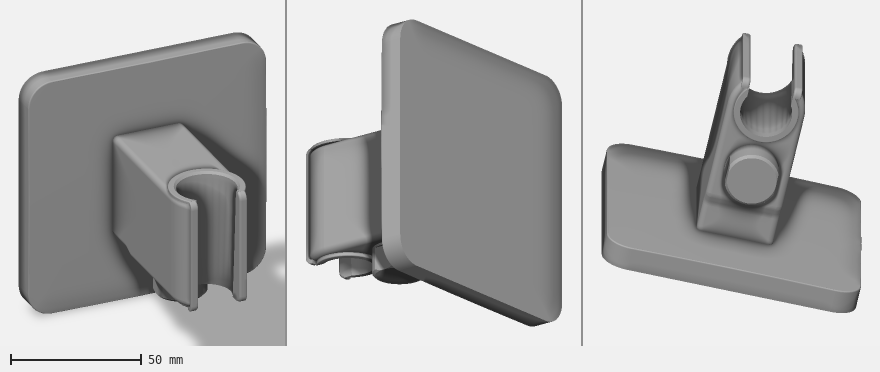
import cadquery as cq
import math

PLATE_SIZE = 100.0
PLATE_CORNER_RADIUS = 10.0
PLATE_THICKNESS = 10.1
PLATE_DOME_RADIUS = 2400.0
PLATE_EDGE_FILLET = 0.5

ARM_WIDTH = 30.0
ARM_TOP = 21.4
ARM_BOTTOM = -23.2
ARM_ROOT_BOTTOM = -21.3
ARM_ROOT_X = 9.0
ARM_END_X = 75.6
ARM_FILLET = 2.3
STEP_START_X = 22.0
STEP_END_X = 26.0
STEP_BLEND = 4.0
SELECT_MARGIN = 1.0
ARM_HALF_WIDTH = ARM_WIDTH / 2

HOLDER_X = 65.0
FLANGE_THICKNESS = 1.2
HOLDER_TOP = ARM_TOP + FLANGE_THICKNESS
HOLDER_BOTTOM = -24.7
HOLDER_END_X = 76.8
HOLDER_HEIGHT = HOLDER_TOP - HOLDER_BOTTOM
SLEEVE_RADIUS = 12.5
BORE_TOP_RADIUS = 11.8
BORE_BOTTOM_RADIUS = 10.0
BORE_CHAMFER = 0.9
MOUTH_HALF_WIDTH = 8.6
LIP_HALF_WIDTH = 11.7
LIP_START_X = ARM_END_X - ARM_FILLET
LIP_ROUND = 3.0
LIP_INNER_FILLET = 0.9
RIM_FILLET = 0.4
FLANGE_END_X = HOLDER_X + math.sqrt(ARM_HALF_WIDTH**2 - LIP_HALF_WIDTH**2)

OUTLET_X = 40.0
OUTLET_RADIUS = 10.5
OUTLET_BOTTOM = -34.0
OUTLET_CHAMFER = 1.0
OUTLET_COLLAR = 1.0
OUTLET_FLAT_DISTANCE = 9.5


def block(x_min, x_max, half_width, z_min, z_max):
    """A box centred on Y = 0."""
    size = (x_max - x_min, 2 * half_width, z_max - z_min)
    return cq.Workplane("XY").box(*size, centered=(False, True, False)).translate((x_min, 0, z_min))


def disc(x, radius, z_min, z_max):
    """A vertical cylinder on the Y = 0 plane."""
    return cq.Workplane("XY", origin=(x, 0, z_min)).circle(radius).extrude(z_max - z_min)


def make_plate():
    slab = cq.Workplane("YZ").rect(PLATE_SIZE, PLATE_SIZE).extrude(PLATE_THICKNESS)
    slab = slab.edges("|X").fillet(PLATE_CORNER_RADIUS)
    dome_centre = (PLATE_THICKNESS - PLATE_DOME_RADIUS, 0, 0)
    dome = cq.Workplane("XY").sphere(PLATE_DOME_RADIUS).translate(dome_centre)
    return slab.intersect(dome).faces(">X").edges().fillet(PLATE_EDGE_FILLET)


def make_arm_end_limit():
    """A block with the flat, round-cornered end that cuts the half round short."""
    limit = block(ARM_ROOT_X, ARM_END_X, ARM_HALF_WIDTH, ARM_BOTTOM, ARM_TOP)
    return limit.edges("|Y and >X").fillet(ARM_FILLET)


def make_arm_envelope():
    """The arm before the holder's seat is cut, reaching to the full half round."""
    nose_x = HOLDER_X + ARM_HALF_WIDTH
    profile = [
        (ARM_ROOT_X, ARM_TOP),
        (nose_x, ARM_TOP),
        (nose_x, ARM_BOTTOM),
        (STEP_END_X, ARM_BOTTOM),
        (STEP_START_X, ARM_ROOT_BOTTOM),
        (ARM_ROOT_X, ARM_ROOT_BOTTOM),
    ]
    bar = cq.Workplane("XZ").polyline(profile).close().extrude(ARM_HALF_WIDTH, both=True)
    step_edges = cq.selectors.BoxSelector(
        (STEP_START_X - SELECT_MARGIN, -ARM_WIDTH, ARM_BOTTOM - SELECT_MARGIN),
        (STEP_END_X + SELECT_MARGIN, ARM_WIDTH, ARM_ROOT_BOTTOM + SELECT_MARGIN),
    )
    bar = bar.edges("|Y").edges(step_edges).fillet(STEP_BLEND)
    plan = block(ARM_ROOT_X, HOLDER_X, ARM_HALF_WIDTH, HOLDER_BOTTOM, HOLDER_TOP)
    plan = plan.union(disc(HOLDER_X, ARM_HALF_WIDTH, HOLDER_BOTTOM, HOLDER_TOP))
    bar = bar.intersect(plan)
    bar = bar.faces(">Z").edges("not(<X)").fillet(ARM_FILLET)
    bar = bar.faces("<Z").edges("%CIRCLE").fillet(ARM_FILLET)
    return bar.intersect(make_arm_end_limit())


def make_mouth():
    return block(HOLDER_X, HOLDER_END_X, MOUTH_HALF_WIDTH, HOLDER_BOTTOM, HOLDER_TOP)


def make_arm(plate):
    seat = disc(HOLDER_X, SLEEVE_RADIUS, ARM_BOTTOM, ARM_TOP)
    return make_arm_envelope().cut(seat).cut(make_mouth()).cut(plate)


def make_bore():
    """Tapered bore with a chamfered upper rim."""
    chamfer_z = HOLDER_TOP - BORE_CHAMFER
    profile = [
        (0, HOLDER_BOTTOM),
        (BORE_BOTTOM_RADIUS, HOLDER_BOTTOM),
        (BORE_TOP_RADIUS, chamfer_z),
        (BORE_TOP_RADIUS + BORE_CHAMFER, HOLDER_TOP),
        (0, HOLDER_TOP),
    ]
    bore = cq.Workplane("XZ").polyline(profile).close().revolve(360, (0, 0), (0, 1))
    return bore.translate((HOLDER_X, 0, 0))


def make_lip():
    """The +Y lip, wrapped round the flat end of the arm."""
    lip = (
        cq.Workplane("XY")
        .box(
            HOLDER_END_X - LIP_START_X,
            LIP_HALF_WIDTH - MOUTH_HALF_WIDTH,
            HOLDER_HEIGHT,
            centered=False,
        )
        .translate((LIP_START_X, MOUTH_HALF_WIDTH, HOLDER_BOTTOM))
    )
    lip = lip.edges("|Y and >X").fillet(LIP_ROUND)
    lip = lip.faces("<Y").edges("not <X").fillet(LIP_INNER_FILLET)
    lip = lip.faces(">Y").edges("not <X").fillet(RIM_FILLET)
    return lip.cut(make_arm_end_limit())


def make_holder():
    sleeve = disc(HOLDER_X, SLEEVE_RADIUS, HOLDER_BOTTOM, HOLDER_TOP)
    sleeve = sleeve.faces("<Z").edges().fillet(RIM_FILLET)
    flange = disc(HOLDER_X, ARM_HALF_WIDTH, ARM_TOP, HOLDER_TOP)
    flange = flange.faces(">Z").edges().fillet(RIM_FILLET)
    limit = block(0, FLANGE_END_X, ARM_HALF_WIDTH, HOLDER_BOTTOM, HOLDER_TOP)
    body = sleeve.union(flange).intersect(limit).cut(make_bore()).cut(make_mouth())
    lip = make_lip()
    return body.union(lip).union(lip.mirror("XZ"))


def make_outlet():
    outlet = disc(OUTLET_X, OUTLET_RADIUS, OUTLET_BOTTOM, ARM_BOTTOM)
    outlet = outlet.faces("<Z").chamfer(OUTLET_CHAMFER)
    flat_depth = OUTLET_RADIUS - OUTLET_FLAT_DISTANCE
    flat_height = ARM_BOTTOM - OUTLET_COLLAR - OUTLET_BOTTOM
    for side in (-1, 1):
        cutter = cq.Workplane("XY").box(2 * OUTLET_RADIUS, flat_depth, flat_height)
        y = side * (OUTLET_FLAT_DISTANCE + flat_depth / 2)
        outlet = outlet.cut(cutter.translate((OUTLET_X, y, OUTLET_BOTTOM + flat_height / 2)))
    return outlet


plate = make_plate()
arm = make_arm(plate)
holder = make_holder()
outlet = make_outlet()

result = cq.Compound.makeCompound([plate.val(), arm.val(), holder.val(), outlet.val()])